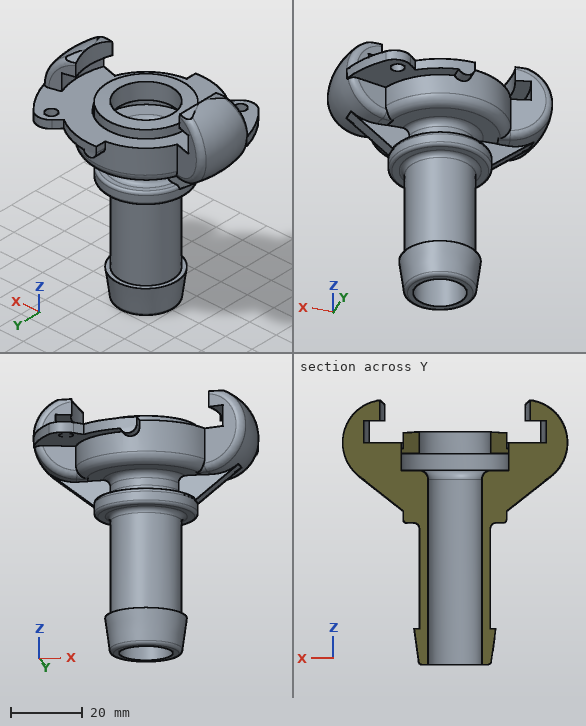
import cadquery as cq
import math

TOTAL_HEIGHT = 74.0
OUTER_RADIUS = 63.0 / 2
BORE_RADIUS = 15.0 / 2
STEM_RADIUS = 20 / 2

BARB_RADIUS = 11.5
BARB_TIP_RADIUS = 10.2
BARB_HEIGHT = 10.15
BARB_ROUND = 1.0

COLLAR_RADIUS = 29.0 / 2
COLLAR_BOTTOM = 39.6
COLLAR_TOP = 44.0
COLLAR_ROUND = 0.95
COLLAR_LOWER_FILLET = 1.5
NECK_FILLET = 2.0

CLAW_ROUND_RADIUS = 12.0
CLAW_CENTRE_RADIUS = OUTER_RADIUS - CLAW_ROUND_RADIUS
CLAW_ROOT_RADIUS = 16.3
CLAW_SIDE_ANGLE = 15.0
CLAW_AXIS_HALF_WIDTH = 2.4
CLAW_EDGE_FILLET = 2.0
CLAW_TIP_RADIUS = 21.0
CLAW_NOTCH_RADIUS = 25.45
CLAW_NOTCH_HEIGHT = 6.1
CLAW_CROWN_RADIUS = 22.2
CLAW_CROWN_HALF_WIDTH = 1.1
CLAW_TIP_RISE = math.sqrt(CLAW_ROUND_RADIUS**2 - (CLAW_TIP_RADIUS - CLAW_CENTRE_RADIUS)**2)

FACE_Z = TOTAL_HEIGHT - CLAW_TIP_RISE
HUB_HEIGHT = 11.9
HUB_BOTTOM = FACE_Z - HUB_HEIGHT
HUB_RADIUS = 19.8
HUB_ROUND = 3.0

CAVITY_RADIUS = 30.0 / 2
CAVITY_DEPTH = 7.8
CAVITY_FLOOR = FACE_Z - CAVITY_DEPTH
BORE_LEAD_RADIUS = STEM_RADIUS - BORE_RADIUS

FLANGE_THICKNESS = 3.0
FLANGE_BOTTOM = FACE_Z - FLANGE_THICKNESS
TOOTH_RADIUS = 47.0 / 2
TOOTH_HALF_WIDTH = 2.5
STOP_AXIS_Z = FACE_Z - 2.0
LUG_ROUND = 4.95
LUG_FLANK_OFFSET = 5.5
LUG_START_Y = 8.5
LUG_HOLE_RADIUS = 4.0 / 2
LUG_HOLE_POSITION = 18.7
BLIND_HOLE_DEPTH = 2.8

WEB_THICKNESS = 4.0
WEB_INNER_RADIUS = 8.9
WEB_FOOT_Z = 42.9

SEAL_LIP_RADIUS = 29.0 / 2
SEAL_PROTRUSION = 3.0
SEAL_TOP_SLOPE = 0.3
SEAL_HEIGHT = 6.15
SEAL_BASE_HEIGHT = 1.5
SEAL_BOTTOM = FACE_Z + SEAL_PROTRUSION - SEAL_HEIGHT

DIAGONAL = math.sqrt(0.5)
CUT_SPAN = 74.0


def cylinder(radius, bottom, top):
    return cq.Workplane("XY").workplane(offset=bottom).circle(radius).extrude(top - bottom)


def revolved_about_z(profile):
    return profile.close().revolve(360, (0, 0, 0), (0, 1, 0))


def make_stem_and_hub():
    """Turned outside shape: barb, stem, collar, neck and hub."""
    def fillet_arc(profile, centre, radius, middle, end):
        bulge = (centre[0] + radius * DIAGONAL * middle[0], centre[1] + radius * DIAGONAL * middle[1])
        return profile.threePointArc(bulge, end)

    collar_flat_radius = COLLAR_RADIUS - COLLAR_ROUND
    lower_fillet_radius = STEM_RADIUS + COLLAR_LOWER_FILLET
    neck_fillet_radius = STEM_RADIUS + NECK_FILLET
    hub_flat_radius = HUB_RADIUS - HUB_ROUND

    p = cq.Workplane("XZ").lineTo(BARB_TIP_RADIUS - BARB_ROUND, 0)
    p = fillet_arc(p, (BARB_TIP_RADIUS - BARB_ROUND, BARB_ROUND), BARB_ROUND, (1, -1),
                   (BARB_TIP_RADIUS, BARB_ROUND))
    p = p.lineTo(BARB_RADIUS, BARB_HEIGHT).lineTo(STEM_RADIUS, BARB_HEIGHT)
    p = p.lineTo(STEM_RADIUS, COLLAR_BOTTOM - COLLAR_LOWER_FILLET)
    p = fillet_arc(p, (lower_fillet_radius, COLLAR_BOTTOM - COLLAR_LOWER_FILLET), COLLAR_LOWER_FILLET,
                   (-1, 1), (lower_fillet_radius, COLLAR_BOTTOM))
    p = p.lineTo(collar_flat_radius, COLLAR_BOTTOM)
    p = fillet_arc(p, (collar_flat_radius, COLLAR_BOTTOM + COLLAR_ROUND), COLLAR_ROUND,
                   (1, -1), (COLLAR_RADIUS, COLLAR_BOTTOM + COLLAR_ROUND))
    p = p.lineTo(COLLAR_RADIUS, COLLAR_TOP - COLLAR_ROUND)
    p = fillet_arc(p, (collar_flat_radius, COLLAR_TOP - COLLAR_ROUND), COLLAR_ROUND,
                   (1, 1), (collar_flat_radius, COLLAR_TOP))
    p = p.lineTo(neck_fillet_radius, COLLAR_TOP)
    p = fillet_arc(p, (neck_fillet_radius, COLLAR_TOP + NECK_FILLET), NECK_FILLET,
                   (-1, -1), (STEM_RADIUS, COLLAR_TOP + NECK_FILLET))
    p = p.lineTo(STEM_RADIUS, HUB_BOTTOM - NECK_FILLET)
    p = fillet_arc(p, (neck_fillet_radius, HUB_BOTTOM - NECK_FILLET), NECK_FILLET,
                   (-1, 1), (neck_fillet_radius, HUB_BOTTOM))
    p = p.lineTo(hub_flat_radius, HUB_BOTTOM)
    p = fillet_arc(p, (hub_flat_radius, HUB_BOTTOM + HUB_ROUND), HUB_ROUND,
                   (1, -1), (HUB_RADIUS, HUB_BOTTOM + HUB_ROUND))
    return revolved_about_z(p.lineTo(HUB_RADIUS, FACE_Z).lineTo(0, FACE_Z))


def make_flange_wing():
    """Flange on the +Y side: tooth, lug toward +X, and a rounded stop at the tooth end."""
    rim_sum = math.sqrt(2 * TOOTH_RADIUS**2 - LUG_FLANK_OFFSET**2)
    rim_corner = ((rim_sum - LUG_FLANK_OFFSET) / 2, (rim_sum + LUG_FLANK_OFFSET) / 2)
    centre_distance = OUTER_RADIUS - LUG_ROUND
    centre_offset = LUG_FLANK_OFFSET - LUG_ROUND / DIAGONAL
    centre_sum = math.sqrt(2 * centre_distance**2 - centre_offset**2)
    cx = (centre_sum - centre_offset) / 2
    cy = (centre_sum + centre_offset) / 2
    flank_end = (cx - LUG_ROUND * DIAGONAL, cy + LUG_ROUND * DIAGONAL)
    rim_scale = OUTER_RADIUS / centre_distance
    rim_start = (cx * rim_scale, cy * rim_scale)
    rim_angle = math.atan2(cy, cx)
    arc_angle = (rim_angle + math.radians(135)) / 2
    arc_middle = (cx + LUG_ROUND * math.cos(arc_angle), cy + LUG_ROUND * math.sin(arc_angle))
    start_angle = math.asin(LUG_START_Y / OUTER_RADIUS)
    rim_middle_angle = (rim_angle + start_angle) / 2
    rim_middle = (OUTER_RADIUS * math.cos(rim_middle_angle), OUTER_RADIUS * math.sin(rim_middle_angle))
    rim_end = (OUTER_RADIUS * math.cos(start_angle), LUG_START_Y)
    tooth_start = (-TOOTH_HALF_WIDTH, math.sqrt(TOOTH_RADIUS**2 - TOOTH_HALF_WIDTH**2))

    plate = (
        cq.Workplane("XY").workplane(offset=FLANGE_BOTTOM)
        .moveTo(-TOOTH_HALF_WIDTH, LUG_START_Y)
        .lineTo(*tooth_start)
        .threePointArc((0, TOOTH_RADIUS), rim_corner)
        .lineTo(*flank_end)
        .threePointArc(arc_middle, rim_start)
        .threePointArc(rim_middle, rim_end)
        .lineTo(CLAW_ROOT_RADIUS, 0)
        .close().extrude(FLANGE_THICKNESS)
    )
    stop = (
        cq.Workplane("XZ").center(0, STOP_AXIS_Z).circle(TOOTH_HALF_WIDTH)
        .extrude(-TOOTH_RADIUS)
        .intersect(cylinder(TOOTH_RADIUS, HUB_BOTTOM, FACE_Z))
    )
    corner_height = STOP_AXIS_Z - FLANGE_BOTTOM
    corner = cq.Workplane("XY").box(
        TOOTH_HALF_WIDTH, TOOTH_RADIUS, corner_height, centered=False
    ).translate((-TOOTH_HALF_WIDTH, 0, FLANGE_BOTTOM))
    return plate.cut(corner).union(stop)


def make_claw():
    """Claw on the +X side, a turned round trimmed to a wedge, with rounded edges and a notch."""
    claw_top = FACE_Z + CLAW_ROUND_RADIUS
    claw_bottom = FACE_Z - CLAW_ROUND_RADIUS
    body = revolved_about_z(
        cq.Workplane("XZ")
        .moveTo(CLAW_ROOT_RADIUS, claw_bottom)
        .lineTo(CLAW_CENTRE_RADIUS, claw_bottom)
        .threePointArc((OUTER_RADIUS, FACE_Z), (CLAW_CENTRE_RADIUS, claw_top))
        .lineTo(CLAW_ROOT_RADIUS, claw_top)
    )
    wedge_length = OUTER_RADIUS + CLAW_ROUND_RADIUS
    wedge_half_width = CLAW_AXIS_HALF_WIDTH + wedge_length * math.tan(math.radians(CLAW_SIDE_ANGLE))
    wedge = cq.Workplane("XY").polyline([
        (0, -CLAW_AXIS_HALF_WIDTH), (wedge_length, -wedge_half_width),
        (wedge_length, wedge_half_width), (0, CLAW_AXIS_HALF_WIDTH),
    ]).close().extrude(CUT_SPAN + CLAW_ROUND_RADIUS)
    claw = body.intersect(wedge)
    side_box = cq.selectors.BoxSelector(
        (CLAW_CENTRE_RADIUS, -CUT_SPAN, 0), (CUT_SPAN, CUT_SPAN, 2 * CUT_SPAN))
    claw = claw.edges(side_box).edges("not(#Z)").edges("not(|Z)").fillet(CLAW_EDGE_FILLET)

    claw = claw.cut(cylinder(CLAW_TIP_RADIUS, FACE_Z, CUT_SPAN + CLAW_ROUND_RADIUS))
    claw = claw.cut(cylinder(CLAW_NOTCH_RADIUS, FACE_Z, FACE_Z + CLAW_NOTCH_HEIGHT))
    crown_rise = math.sqrt(CLAW_CROWN_RADIUS**2 - CLAW_CROWN_HALF_WIDTH**2)
    crown = (
        cq.Workplane("YZ").center(0, TOTAL_HEIGHT - crown_rise)
        .circle(CLAW_CROWN_RADIUS).extrude(CUT_SPAN)
    )
    lower_claw = cylinder(CUT_SPAN, 0, FACE_Z)
    return claw.intersect(crown.union(lower_claw))


def make_web():
    """Triangular web under the +X claw, tangent to the claw round."""
    dx = CLAW_CENTRE_RADIUS - COLLAR_RADIUS
    dz = FACE_Z - WEB_FOOT_Z
    distance = math.hypot(dx, dz)
    tangent_angle = math.atan2(dz, dx) - math.asin(CLAW_ROUND_RADIUS / distance)
    tangent_length = math.sqrt(distance**2 - CLAW_ROUND_RADIUS**2)
    tangent_point = (COLLAR_RADIUS + tangent_length * math.cos(tangent_angle),
                     WEB_FOOT_Z + tangent_length * math.sin(tangent_angle))
    return cq.Workplane("XZ").polyline([
        (WEB_INNER_RADIUS, WEB_FOOT_Z), (COLLAR_RADIUS, WEB_FOOT_Z), tangent_point,
        (WEB_INNER_RADIUS, tangent_point[1]),
    ]).close().extrude(WEB_THICKNESS / 2, both=True)


def make_bore():
    """Through bore with a rounded entry below the seal cavity."""
    lead_bottom = CAVITY_FLOOR - BORE_LEAD_RADIUS
    return revolved_about_z(
        cq.Workplane("XZ")
        .lineTo(BORE_RADIUS, 0)
        .lineTo(BORE_RADIUS, lead_bottom)
        .threePointArc((STEM_RADIUS - BORE_LEAD_RADIUS * DIAGONAL,
                        lead_bottom + BORE_LEAD_RADIUS * DIAGONAL),
                       (STEM_RADIUS, CAVITY_FLOOR))
        .lineTo(CAVITY_RADIUS, CAVITY_FLOOR)
        .lineTo(CAVITY_RADIUS, FACE_Z)
        .lineTo(0, FACE_Z)
    )


def make_coupling():
    coupling = make_stem_and_hub()
    for side_angle in (0, 180):
        for feature in (make_flange_wing(), make_claw(), make_web()):
            coupling = coupling.union(feature.rotate((0, 0, 0), (0, 0, 1), side_angle))
    coupling = coupling.cut(make_bore())

    through_hole = cylinder(LUG_HOLE_RADIUS, FLANGE_BOTTOM, FACE_Z)
    blind_hole = cylinder(LUG_HOLE_RADIUS, FACE_Z - BLIND_HOLE_DEPTH, FACE_Z)
    for hole, position in ((through_hole, LUG_HOLE_POSITION), (blind_hole, -LUG_HOLE_POSITION)):
        coupling = coupling.cut(hole.translate((position, position, 0)))
    return coupling


def make_seal():
    """Seal ring: a base that fits the cavity and a narrower lip with a slightly conical top."""
    seal_top = FACE_Z + SEAL_PROTRUSION
    return revolved_about_z(
        cq.Workplane("XZ")
        .moveTo(STEM_RADIUS, SEAL_BOTTOM)
        .lineTo(CAVITY_RADIUS, SEAL_BOTTOM)
        .lineTo(CAVITY_RADIUS, SEAL_BOTTOM + SEAL_BASE_HEIGHT)
        .lineTo(SEAL_LIP_RADIUS, SEAL_BOTTOM + SEAL_BASE_HEIGHT)
        .lineTo(SEAL_LIP_RADIUS, seal_top - SEAL_TOP_SLOPE)
        .lineTo(STEM_RADIUS, seal_top)
    )


coupling = make_coupling()
seal = make_seal()
result = cq.Compound.makeCompound([coupling.val(), seal.val()])